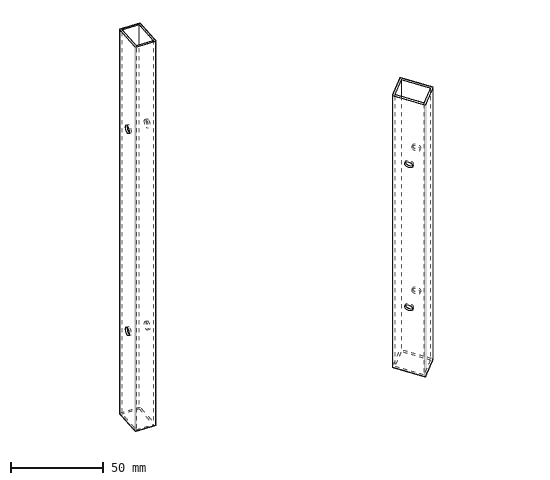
import cadquery as cq

width = 19.0
depth = 12.7
length = 254.0
wall = 1.2
corner_radius = 0.5

hole_diameter = 4.8
lower_hole_height = 60.2
hole_spacing = 133.5
hole_heights = [lower_hole_height, lower_hole_height + hole_spacing]


def make_tube():
    outer = cq.Workplane("XY").rect(width, depth).extrude(length)
    outer = outer.edges("|Z").fillet(corner_radius)
    bore = cq.Workplane("XY").rect(width - 2 * wall, depth - 2 * wall).extrude(length)
    return outer.cut(bore)


def make_cross_hole(height):
    return (
        cq.Workplane("XZ")
        .center(0, height)
        .circle(hole_diameter / 2)
        .extrude(depth, both=True)
    )


result = make_tube()
for height in hole_heights:
    result = result.cut(make_cross_hole(height))